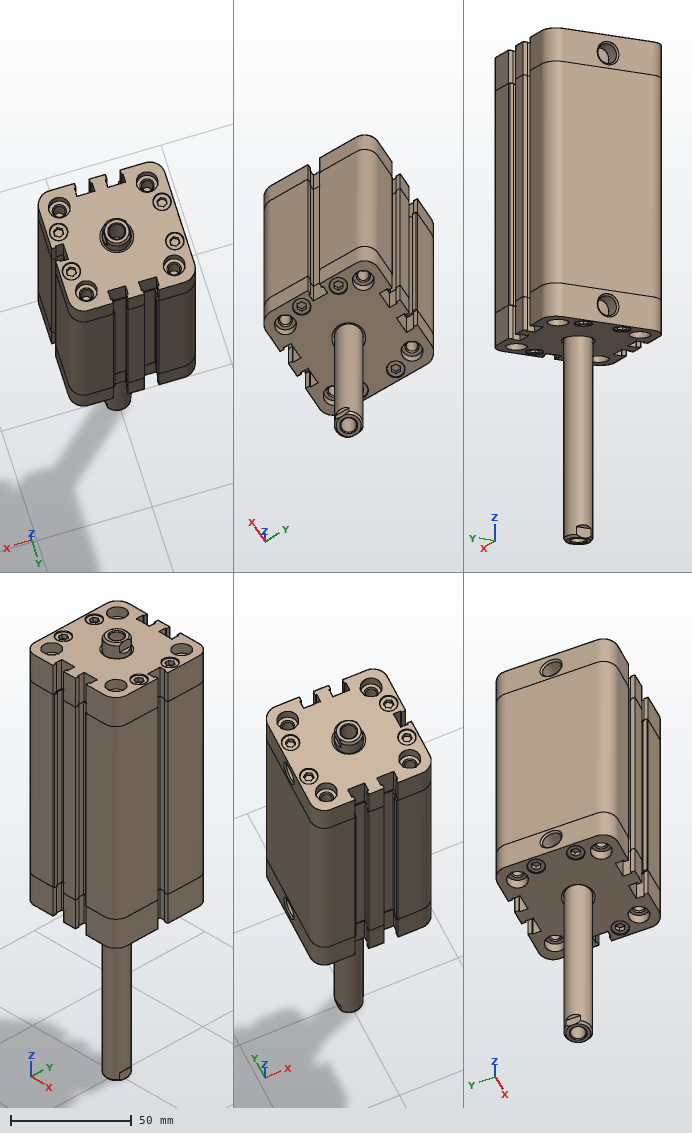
import cadquery as cq
import math

total_length = 219.0
body_side = 54.8
body_corner_radius = 6.5
body_length = 125.3
cap_height = 14.5
rod_top_reach = 6.8

body_bottom = -body_length
bottom_cap_top = body_bottom + cap_height
barrel_length = body_length - 2 * cap_height
rod_top = rod_top_reach
rod_bottom = rod_top - total_length
rod_middle = (rod_top + rod_bottom) / 2

slot_depth = 5.3
slot_lip = 2.0
slot_mouth_width = 5.7
slot_undercut = 0.7
slot_spacing = 12.7
slot_mouth_chamfer_width = 0.7
slot_mouth_chamfer_depth = 0.2
cap_slot_side_clearance = 0.7
cap_slot_floor_clearance = 0.5

core_diameter = 40.0
cap_end_wall = 2.6
core_length = body_length - 2 * cap_end_wall
cap_pocket_depth = cap_height - cap_end_wall

rod_diameter = 12.0
rod_chamfer_length = 1.0
rod_chamfer_inset = 0.9
rod_flat_width = 10.0
rod_flat_length = 4.4
rod_flat_runout = (rod_diameter - rod_flat_width) / 2
rod_bore_diameter = 6.5
rod_bore_depth = 17.5
rod_bore_chamfer = 0.5
rod_countersink_diameter = 14.0

mount_pitch = 38.0
mount_counterbore_diameter = 9.0
mount_counterbore_depth = 4.8
mount_hole_diameter = 4.8
mount_chamfer_diameter = 6.0

screw_pitch_x = 45.0
screw_pitch_y = 18.0
screw_recess_diameter = 7.7
screw_recess_floor_diameter = 7.2
screw_recess_depth = 0.5
socket_across_flats = 3.7
socket_depth = 2.2

port_offset = 7.9
port_diameter = 8.5
port_mouth_diameter = 10.0


def cylinder(diameter, height, bottom, x=0, y=0):
    return cq.Workplane("XY", origin=(x, y, bottom)).circle(diameter / 2).extrude(height)


def tapered_recess(plane, mouth_diameter, floor_diameter, depth):
    """Cone frustum that starts on the plane and narrows against its normal."""
    return (
        cq.Workplane(plane)
        .circle(mouth_diameter / 2)
        .workplane(offset=-depth)
        .circle(floor_diameter / 2)
        .loft(combine=True)
    )


def level_plane(x, y, z):
    return cq.Plane(origin=(x, y, z))


def corner_points(pitch_x, pitch_y):
    return [(i * pitch_x / 2, j * pitch_y / 2) for i in (-1, 1) for j in (-1, 1)]


def slot_cutter(bottom, height, side_clearance, floor_clearance):
    """T-slot open toward +Y; the side clearance widens it toward -X only."""
    face = body_side / 2
    lip_level = face - slot_lip
    floor_level = face - slot_depth - floor_clearance
    mouth_right = slot_mouth_width / 2
    mouth_left = -mouth_right - side_clearance
    inner_right = mouth_right + slot_undercut
    inner_left = mouth_left - slot_undercut
    return (
        cq.Workplane("XY", origin=(0, 0, bottom))
        .moveTo(mouth_left, face)
        .lineTo(mouth_right, face)
        .lineTo(mouth_right, lip_level)
        .lineTo(inner_right, lip_level)
        .lineTo(inner_right, floor_level)
        .lineTo(inner_left, floor_level)
        .lineTo(inner_left, lip_level)
        .lineTo(mouth_left, lip_level)
        .close()
        .extrude(height)
    )


def mouth_chamfer_cutter(bottom, height):
    """Bevel along the -X edge of a slot mouth open toward +Y."""
    face = body_side / 2
    edge = -slot_mouth_width / 2
    return (
        cq.Workplane("XY", origin=(0, 0, bottom))
        .moveTo(edge, face)
        .lineTo(edge - slot_mouth_chamfer_width, face)
        .lineTo(edge, face - slot_mouth_chamfer_depth)
        .close()
        .extrude(height)
    )


def plain_block(bottom, height):
    return (
        cq.Workplane("XY", origin=(0, 0, bottom))
        .rect(body_side, body_side)
        .extrude(height)
        .edges("|Z")
        .fillet(body_corner_radius)
    )


def cut_on_four_slots(block, cutter):
    """Apply a cutter made for the slot centre line to both slots on both Y sides."""
    left = cutter.translate((-slot_spacing / 2, 0, 0))
    for one_side in (left, left.mirror("YZ")):
        block = block.cut(one_side).cut(one_side.mirror("XZ"))
    return block


def cut_side_slot(block, bottom, height):
    side_slot = slot_cutter(bottom, height, 0, 0).rotate((0, 0, 0), (0, 0, 1), -90)
    return block.cut(side_slot)


def make_barrel():
    barrel = plain_block(bottom_cap_top, barrel_length)
    barrel = cut_on_four_slots(barrel, slot_cutter(bottom_cap_top, barrel_length, 0, 0))
    barrel = cut_on_four_slots(barrel, mouth_chamfer_cutter(bottom_cap_top, barrel_length))
    barrel = cut_side_slot(barrel, bottom_cap_top, barrel_length)
    return barrel.cut(cylinder(core_diameter, barrel_length, bottom_cap_top))


def cut_rod_passage(cap):
    pocket = cylinder(core_diameter, cap_pocket_depth, -cap_height)
    passage = cylinder(rod_diameter, cap_height, -cap_height)
    countersink_depth = (rod_countersink_diameter - rod_diameter) / 2
    countersink = tapered_recess(
        level_plane(0, 0, 0), rod_countersink_diameter, rod_diameter, countersink_depth
    )
    return cap.cut(pocket).cut(passage).cut(countersink)


def cut_mount_holes(cap):
    seat = -mount_counterbore_depth
    chamfer_depth = (mount_chamfer_diameter - mount_hole_diameter) / 2
    for x, y in corner_points(mount_pitch, mount_pitch):
        counterbore = cylinder(mount_counterbore_diameter, mount_counterbore_depth, seat, x, y)
        hole = cylinder(mount_hole_diameter, cap_height, -cap_height, x, y)
        chamfer = tapered_recess(
            level_plane(x, y, seat), mount_chamfer_diameter, mount_hole_diameter, chamfer_depth
        )
        cap = cap.cut(counterbore).cut(hole).cut(chamfer)
    return cap


def cut_screw_recesses(cap):
    across_corners = socket_across_flats / math.cos(math.pi / 6)
    for x, y in corner_points(screw_pitch_x, screw_pitch_y):
        recess = tapered_recess(
            level_plane(x, y, 0), screw_recess_diameter, screw_recess_floor_diameter, screw_recess_depth
        )
        socket = (
            cq.Workplane("XY", origin=(x, y, -screw_recess_depth))
            .transformed(rotate=(0, 0, 90))
            .polygon(6, across_corners)
            .extrude(-socket_depth)
        )
        cap = cap.cut(recess).cut(socket)
    return cap


def cut_port(cap):
    face = cq.Plane(origin=(-body_side / 2, 0, -port_offset), xDir=(0, 1, 0), normal=(-1, 0, 0))
    mouth_depth = (port_mouth_diameter - port_diameter) / 2
    port = cq.Workplane(face).circle(port_diameter / 2).extrude(-(body_side - core_diameter))
    mouth = tapered_recess(face, port_mouth_diameter, port_diameter, mouth_depth)
    return cap.cut(port).cut(mouth)


def make_top_cap():
    cap = plain_block(-cap_height, cap_height)
    slot = slot_cutter(-cap_height, cap_height, cap_slot_side_clearance, cap_slot_floor_clearance)
    cap = cut_on_four_slots(cap, slot)
    cap = cut_side_slot(cap, -cap_height, cap_height)
    cap = cut_rod_passage(cap)
    cap = cut_mount_holes(cap)
    cap = cut_screw_recesses(cap)
    return cut_port(cap)


def make_bottom_cap():
    """The top cap mirrored about the middle of the body."""
    return make_top_cap().mirror("XY", (0, 0, -body_length / 2))


def make_piston_core():
    bottom = body_bottom + cap_end_wall
    return cylinder(core_diameter, core_length, bottom).cut(cylinder(rod_diameter, core_length, bottom))


def make_rod():
    """Through rod with the same flats, chamfer and end bore at both ends."""
    rod = cylinder(rod_diameter, total_length, rod_bottom)
    rod = rod.faces("<Z or >Z").edges().chamfer(rod_chamfer_length, rod_chamfer_inset)

    rod_radius = rod_diameter / 2
    flat_x = rod_flat_width / 2
    flat = (
        cq.Workplane("XZ")
        .moveTo(flat_x, rod_top)
        .lineTo(rod_radius, rod_top)
        .lineTo(rod_radius, rod_top - rod_flat_length - rod_flat_runout)
        .lineTo(flat_x, rod_top - rod_flat_length)
        .close()
        .extrude(rod_radius, both=True)
    )
    bore = cylinder(rod_bore_diameter, rod_bore_depth, rod_top - rod_bore_depth)
    bore_mouth = tapered_recess(
        level_plane(0, 0, rod_top),
        rod_bore_diameter + 2 * rod_bore_chamfer,
        rod_bore_diameter,
        rod_bore_chamfer,
    )
    for cutter in (flat, flat.mirror("YZ"), bore, bore_mouth):
        rod = rod.cut(cutter).cut(cutter.mirror("XY", (0, 0, rod_middle)))
    return rod


barrel = make_barrel()
top_cap = make_top_cap()
bottom_cap = make_bottom_cap()
piston_core = make_piston_core()
rod = make_rod()

bodies = [barrel, top_cap, bottom_cap, piston_core, rod]
result = cq.Compound.makeCompound([body.solids().val() for body in bodies])